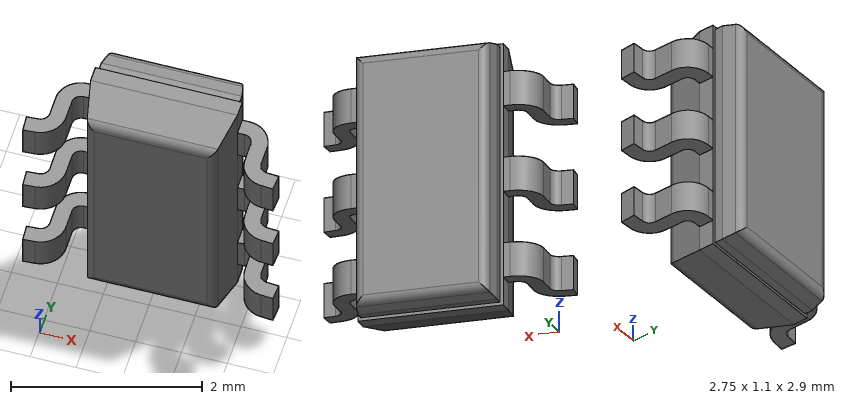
import cadquery as cq
import math


body_height = 2.9
body_width = 1.6
draft_angle = 12.0
rim_radius = 0.1

band_depth = 0.177
base_draft_depth = 0.5
cap_inset = 0.035
cap_straight_depth = 0.1
cap_depth = 0.325

lead_pitch = 0.95
lead_width = 0.38
lead_thickness = band_depth
lead_span = 2.75
shank_outer_x = 1.15
bend_radius = 0.1
foot_angle = 4.0
standoff = 0.1

overall_depth = cap_depth + band_depth + base_draft_depth + standoff
seating_y = -overall_depth / 2
parting_y = overall_depth / 2 - cap_depth
band_end_y = parting_y - band_depth
cap_draft_y = parting_y + cap_straight_depth


def make_base():
    """Base half: a straight band, then drafted walls down to a rounded broad face."""
    band = cq.Workplane("XZ", origin=(0, parting_y, 0)).rect(body_width, body_height).extrude(band_depth)
    drafted = (
        cq.Workplane("XZ", origin=(0, band_end_y, 0))
        .rect(body_width, body_height)
        .extrude(base_draft_depth, taper=draft_angle)
    )
    return band.union(drafted).faces("<Y").edges().fillet(rim_radius)


def make_cap():
    """Cap half: slightly smaller outline, straight then drafted up to a rounded broad face."""
    width = body_width - 2 * cap_inset
    height = body_height - 2 * cap_inset
    straight = cq.Workplane("ZX", origin=(0, parting_y, 0)).rect(height, width).extrude(cap_straight_depth)
    drafted = (
        cq.Workplane("ZX", origin=(0, cap_draft_y, 0))
        .rect(height, width)
        .extrude(cap_depth - cap_straight_depth, taper=draft_angle)
    )
    return straight.union(drafted).faces(">Y").edges().fillet(rim_radius)


def make_lead(side, center_z):
    """Gull-wing lead butting against the band; side is +1 for the +X row, -1 for the -X row."""
    outer_radius = bend_radius + lead_thickness
    slope = math.radians(foot_angle)
    foot_bend_x = shank_outer_x + bend_radius
    foot_length = (lead_span / 2 - foot_bend_x + bend_radius * math.sin(slope)) / math.cos(slope)
    foot_bend_y = seating_y + outer_radius * math.cos(slope) + foot_length * math.sin(slope)
    shoulder_bend_x = shank_outer_x - outer_radius
    shoulder_bend_y = parting_y - outer_radius

    def shoulder_point(radius, angle):
        return (
            side * (shoulder_bend_x + radius * math.cos(angle)),
            shoulder_bend_y + radius * math.sin(angle),
        )

    def foot_point(radius, angle, along=0.0):
        """Point on the foot bend, optionally moved along the foot toward its tip."""
        return (
            side * (foot_bend_x + radius * math.cos(angle) + along * math.cos(slope)),
            foot_bend_y + radius * math.sin(angle) - along * math.sin(slope),
        )

    shoulder_top = math.pi / 2
    shoulder_mid = shoulder_top / 2
    shank_side = math.pi
    foot_end = 1.5 * math.pi - slope
    foot_mid = (shank_side + foot_end) / 2

    profile = (
        cq.Workplane("XY", origin=(0, 0, center_z))
        .moveTo(side * body_width / 2, parting_y)
        .lineTo(*shoulder_point(outer_radius, shoulder_top))
        .threePointArc(shoulder_point(outer_radius, shoulder_mid), shoulder_point(outer_radius, 0))
        .lineTo(*foot_point(bend_radius, shank_side))
        .threePointArc(foot_point(bend_radius, foot_mid), foot_point(bend_radius, foot_end))
        .lineTo(*foot_point(bend_radius, foot_end, foot_length))
        .lineTo(*foot_point(outer_radius, foot_end, foot_length))
        .lineTo(*foot_point(outer_radius, foot_end))
        .threePointArc(foot_point(outer_radius, foot_mid), foot_point(outer_radius, shank_side))
        .lineTo(*shoulder_point(bend_radius, 0))
        .threePointArc(shoulder_point(bend_radius, shoulder_mid), shoulder_point(bend_radius, shoulder_top))
        .lineTo(side * body_width / 2, band_end_y)
        .close()
    )
    return profile.extrude(lead_width / 2, both=True)


base = make_base()
cap = make_cap()
leads = [make_lead(side, row * lead_pitch) for side in (-1, 1) for row in (-1, 0, 1)]

result = cq.Compound.makeCompound([base.val(), cap.val(), *[lead.val() for lead in leads]])